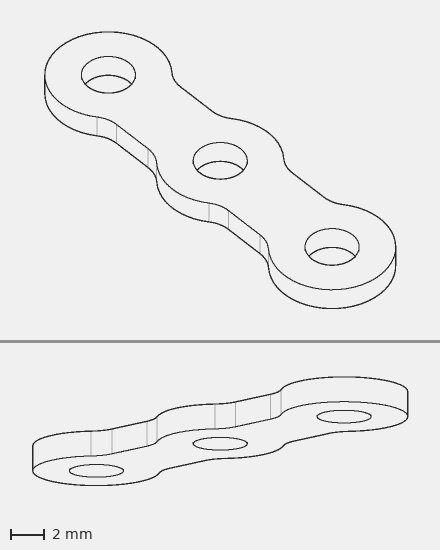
import cadquery as cq

length = 27.5
lobe_diameter = 7.5
thickness = 1.5
hole_diameter = 3.2
neck_width = 5.0
neck_fillet = 2.0

pitch = (length - lobe_diameter) / 2
lobe_centers = [(-pitch, 0), (0, 0), (pitch, 0)]

strap = cq.Workplane("XY").box(2 * pitch, neck_width, thickness)
lobes = (
    cq.Workplane("XY", origin=(0, 0, -thickness / 2))
    .pushPoints(lobe_centers)
    .circle(lobe_diameter / 2)
    .extrude(thickness)
)
plate = strap.union(lobes)

plate = plate.edges("|Z").edges(">Y or <Y").fillet(neck_fillet)

result = plate.faces(">Z").workplane(origin=(0, 0, 0)).pushPoints(lobe_centers).hole(hole_diameter)